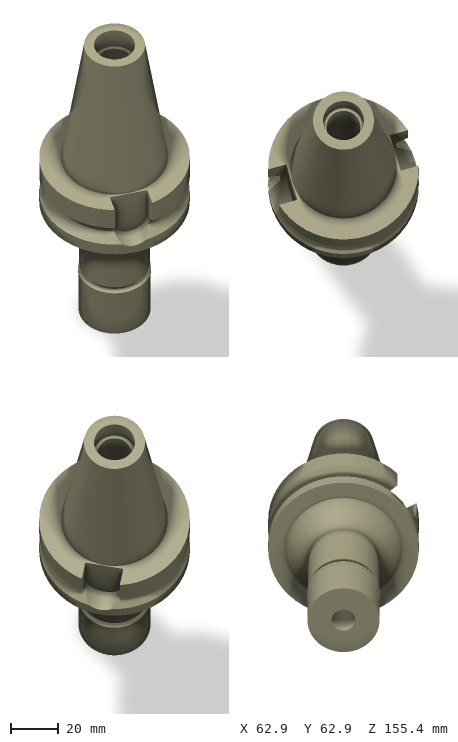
import cadquery as cq

TOTAL_LENGTH = 155.4

TAPER_SMALL_RADIUS = 12.7
TAPER_LARGE_RADIUS = 22.2
TAPER_BASE_Z = 90.3

FLANGE_RADIUS = 31.47
FLANGE_TOP_Z = 89.4
FLANGE_BOTTOM_Z = 63.2
GROOVE_RADIUS = 26.4
GROOVE_CENTER_Z = 73.8
GROOVE_FLOOR_HEIGHT = 4.2
GROOVE_MOUTH_HEIGHT = 9.8

SLOT_WIDTH = 16.2
SLOT_FLAT_X = 22.5
SLOT_BOTTOM_Z = 67.3

CONE_LARGE_RADIUS = 24.2
SHANK_RADIUS = 14.8
SHANK_TOP_Z = 53.3
SHANK_BOTTOM_Z = 27.0
NECK_RADIUS = 12.6

NUT_RADIUS = 15.0
NUT_RIM_RADIUS = 15.2
NUT_TOP_Z = 24.0
NUT_RIM_BOTTOM_Z = 22.0
NUT_LIP_THICKNESS = 3.9

COUNTERBORE_RADIUS = 8.5
COUNTERBORE_DEPTH = 9.3
HOLDER_BORE_RADIUS = 7.1
COLLET_HOLE_RADIUS = 5.0

COLLET_TOP_Z = 31.1
COLLET_TOP_RADIUS = 7.8
COLLET_LARGE_RADIUS = 10.1


def revolve_profile(points):
    """Revolve a closed (radius, z) outline about the Z axis."""
    return cq.Workplane("XZ").polyline(points).close().revolve(360, (0, 0), (0, 1))


def drive_slot(side):
    """Round-bottomed cutter for the drive slot on the +X (1) or -X (-1) side."""
    slot_radius = SLOT_WIDTH / 2
    arc_center_z = SLOT_BOTTOM_Z + slot_radius
    depth = FLANGE_RADIUS - SLOT_FLAT_X
    return (
        cq.Workplane("YZ", origin=(side * SLOT_FLAT_X, 0, 0))
        .moveTo(-slot_radius, FLANGE_TOP_Z)
        .lineTo(-slot_radius, arc_center_z)
        .threePointArc((0, SLOT_BOTTOM_Z), (slot_radius, arc_center_z))
        .lineTo(slot_radius, FLANGE_TOP_Z)
        .close()
        .extrude(side * depth)
    )


def make_holder():
    """Taper, grooved flange and shank, bored through and seated for the collet."""
    groove_floor_top = GROOVE_CENTER_Z + GROOVE_FLOOR_HEIGHT / 2
    groove_floor_bottom = GROOVE_CENTER_Z - GROOVE_FLOOR_HEIGHT / 2
    groove_mouth_top = GROOVE_CENTER_Z + GROOVE_MOUTH_HEIGHT / 2
    groove_mouth_bottom = GROOVE_CENTER_Z - GROOVE_MOUTH_HEIGHT / 2
    counterbore_floor = TOTAL_LENGTH - COUNTERBORE_DEPTH
    holder = revolve_profile([
        (COUNTERBORE_RADIUS, TOTAL_LENGTH),
        (TAPER_SMALL_RADIUS, TOTAL_LENGTH),
        (TAPER_LARGE_RADIUS, TAPER_BASE_Z),
        (TAPER_LARGE_RADIUS, FLANGE_TOP_Z),
        (FLANGE_RADIUS, FLANGE_TOP_Z),
        (FLANGE_RADIUS, groove_mouth_top),
        (GROOVE_RADIUS, groove_floor_top),
        (GROOVE_RADIUS, groove_floor_bottom),
        (FLANGE_RADIUS, groove_mouth_bottom),
        (FLANGE_RADIUS, FLANGE_BOTTOM_Z),
        (CONE_LARGE_RADIUS, FLANGE_BOTTOM_Z),
        (SHANK_RADIUS, SHANK_TOP_Z),
        (SHANK_RADIUS, SHANK_BOTTOM_Z),
        (NECK_RADIUS, SHANK_BOTTOM_Z),
        (NECK_RADIUS, NUT_LIP_THICKNESS),
        (COLLET_LARGE_RADIUS, NUT_LIP_THICKNESS),
        (COLLET_TOP_RADIUS, COLLET_TOP_Z),
        (HOLDER_BORE_RADIUS, COLLET_TOP_Z),
        (HOLDER_BORE_RADIUS, counterbore_floor),
        (COUNTERBORE_RADIUS, counterbore_floor),
    ])
    for side in (-1, 1):
        holder = holder.cut(drive_slot(side))
    return holder


def make_nut():
    """Cup around the neck, with a raised rim and a lip around the collet nose."""
    return revolve_profile([
        (COLLET_LARGE_RADIUS, 0),
        (NUT_RADIUS, 0),
        (NUT_RADIUS, NUT_RIM_BOTTOM_Z),
        (NUT_RIM_RADIUS, NUT_RIM_BOTTOM_Z),
        (NUT_RIM_RADIUS, NUT_TOP_Z),
        (NECK_RADIUS, NUT_TOP_Z),
        (NECK_RADIUS, NUT_LIP_THICKNESS),
        (COLLET_LARGE_RADIUS, NUT_LIP_THICKNESS),
    ])


def make_collet():
    """Tapered sleeve with a straight through hole."""
    return revolve_profile([
        (COLLET_HOLE_RADIUS, 0),
        (COLLET_LARGE_RADIUS, 0),
        (COLLET_LARGE_RADIUS, NUT_LIP_THICKNESS),
        (COLLET_TOP_RADIUS, COLLET_TOP_Z),
        (COLLET_HOLE_RADIUS, COLLET_TOP_Z),
    ])


holder = make_holder()
nut = make_nut()
collet = make_collet()

result = cq.Compound.makeCompound([holder.val(), nut.val(), collet.val()])